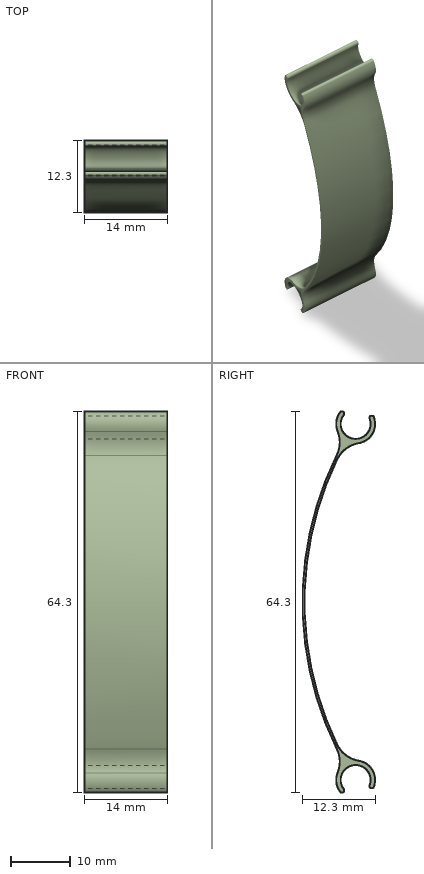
import cadquery as cq
import math

width = 14.0
band_outer_radius = 55.85
band_thickness = 0.4
clip_bore_radius = 2.5
clip_wall = 0.8
clip_height = 30.0
root_fillet_radius = 5.0
outer_tip_angle = 37.1
inner_tip_angle = 20.5

band_mid_radius = band_outer_radius - band_thickness / 2
band_inner_radius = band_outer_radius - band_thickness
clip_outer_radius = clip_bore_radius + clip_wall
clip_mid_radius = clip_bore_radius + clip_wall / 2
clip_y = -math.sqrt(band_mid_radius**2 - clip_height**2)
clip_angle = math.asin(clip_height / band_mid_radius)


def polar(radius, angle, center=(0.0, 0.0)):
    """Point in the YZ plane; the angle is in radians from -Y towards +Z."""
    return (center[0] - radius * math.cos(angle), center[1] + radius * math.sin(angle))


def profile():
    return cq.Workplane("YZ").workplane(offset=-width / 2)


def make_band():
    """Thin arc running from one clip centre to the other."""
    return (
        profile()
        .moveTo(*polar(band_outer_radius, -clip_angle))
        .threePointArc(polar(band_outer_radius, 0), polar(band_outer_radius, clip_angle))
        .lineTo(*polar(band_inner_radius, clip_angle))
        .threePointArc(polar(band_inner_radius, 0), polar(band_inner_radius, -clip_angle))
        .close()
        .extrude(width)
    )


def make_clip(side):
    """C-shaped clip with rounded tips; side is +1 for the upper clip, -1 for the lower one."""
    center = (clip_y, side * clip_height)
    start = side * math.radians(outer_tip_angle)
    end = side * math.radians(-180 - inner_tip_angle)
    middle = (start + end) / 2
    tip_reach = side * 2 * math.asin(clip_wall / 2 / (2 * clip_mid_radius))
    tip_start = start + tip_reach
    tip_end = end - tip_reach
    return (
        profile()
        .moveTo(*polar(clip_outer_radius, start, center))
        .threePointArc(polar(clip_outer_radius, middle, center), polar(clip_outer_radius, end, center))
        .threePointArc(polar(clip_mid_radius, tip_end, center), polar(clip_bore_radius, end, center))
        .threePointArc(polar(clip_bore_radius, middle, center), polar(clip_bore_radius, start, center))
        .threePointArc(polar(clip_mid_radius, tip_start, center), polar(clip_outer_radius, start, center))
        .close()
        .extrude(width)
    )


def make_bore(side):
    return profile().center(clip_y, side * clip_height).circle(clip_bore_radius).extrude(width)


def root_corner(band_radius, side):
    """Point where a band face meets the outside of a clip, from the triangle of the three radii."""
    cosine_numerator = band_radius**2 + band_mid_radius**2 - clip_outer_radius**2
    spread = math.acos(cosine_numerator / (2 * band_radius * band_mid_radius))
    return (0.0, *polar(band_radius, side * (clip_angle - spread)))


def blend_root(body, band_radius, side):
    """Fillet the corner between one band face and one clip."""
    corner = cq.selectors.NearestToPointSelector(root_corner(band_radius, side))
    return body.edges("|X").edges(corner).fillet(root_fillet_radius)


result = make_band()
for side in (1, -1):
    result = result.cut(make_bore(side)).union(make_clip(side))
    for band_radius in (band_outer_radius, band_inner_radius):
        result = blend_root(result, band_radius, side)